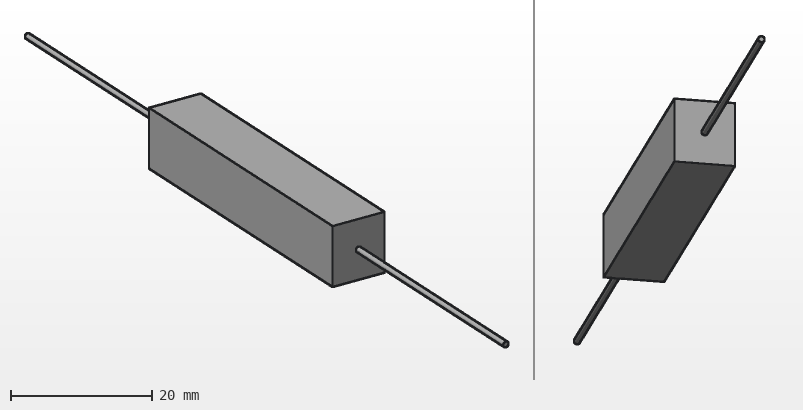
import cadquery as cq

overall_length = 123.8
body_length = 47.5
body_depth = 8.8
body_height = 9.5
lead_diameter = 0.93

body = cq.Workplane("XY").box(body_length, body_depth, body_height)

lead_wire = (
    cq.Workplane("YZ")
    .circle(lead_diameter / 2)
    .extrude(overall_length / 2, both=True)
)

result = body.union(lead_wire)